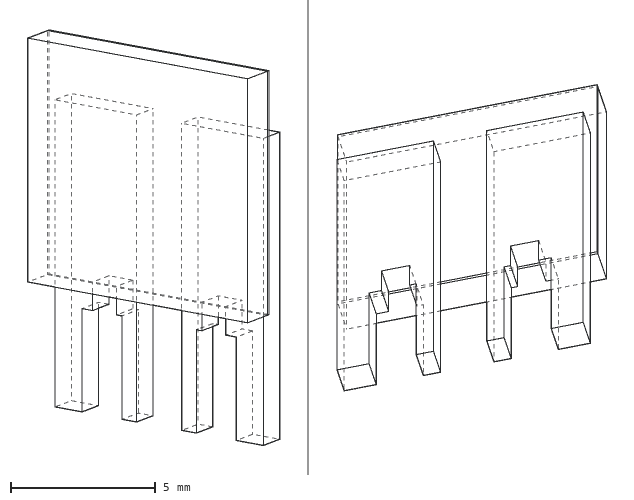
import cadquery as cq

TOTAL_HEIGHT = 13.47
PLATE_WIDTH = 9.27
TOTAL_DEPTH = 2.29

TERMINAL_THICKNESS = 1.0
SHEET_THICKNESS = 0.1
PLATE_THICKNESS = TOTAL_DEPTH - TERMINAL_THICKNESS - SHEET_THICKNESS
SHEET_FRONT_Y = PLATE_THICKNESS
TERMINAL_FRONT_Y = SHEET_FRONT_Y + SHEET_THICKNESS

PLATE_BOTTOM = 4.73
PLATE_HEIGHT = TOTAL_HEIGHT - PLATE_BOTTOM
STEP_HEIGHT = 3.7
TERMINAL_HEIGHT = 11.0

SIDE_INSET = 0.24
TERMINAL_GAP = 1.9
OUTER_LEG_WIDTH = 1.15
OUTER_LEG_ROOT_WIDTH = 1.59
INNER_LEG_WIDTH = 0.62
INNER_LEG_ROOT_WIDTH = 0.85
OUTER_EDGE = PLATE_WIDTH / 2 - SIDE_INSET
INNER_EDGE = TERMINAL_GAP / 2


def make_panel(front_y, thickness):
    """Rectangular panel with the plate outline, starting at front_y."""
    return (
        cq.Workplane("XY")
        .box(PLATE_WIDTH, thickness, PLATE_HEIGHT, centered=(True, False, False))
        .translate((0, front_y, PLATE_BOTTOM))
    )


def make_terminal(side):
    """Two-legged terminal; side is -1 for the -X one and 1 for its mirror image."""
    outline = [
        (OUTER_EDGE, 0),
        (OUTER_EDGE, TERMINAL_HEIGHT),
        (INNER_EDGE, TERMINAL_HEIGHT),
        (INNER_EDGE, 0),
        (INNER_EDGE + INNER_LEG_WIDTH, 0),
        (INNER_EDGE + INNER_LEG_WIDTH, STEP_HEIGHT),
        (INNER_EDGE + INNER_LEG_ROOT_WIDTH, STEP_HEIGHT),
        (INNER_EDGE + INNER_LEG_ROOT_WIDTH, PLATE_BOTTOM),
        (OUTER_EDGE - OUTER_LEG_ROOT_WIDTH, PLATE_BOTTOM),
        (OUTER_EDGE - OUTER_LEG_ROOT_WIDTH, STEP_HEIGHT),
        (OUTER_EDGE - OUTER_LEG_WIDTH, STEP_HEIGHT),
        (OUTER_EDGE - OUTER_LEG_WIDTH, 0),
    ]
    return (
        cq.Workplane("XZ", origin=(0, TERMINAL_FRONT_Y, 0))
        .polyline([(side * x, z) for x, z in outline])
        .close()
        .extrude(-TERMINAL_THICKNESS)
    )


plate = make_panel(0, PLATE_THICKNESS)
sheet = make_panel(SHEET_FRONT_Y, SHEET_THICKNESS)
terminals = [make_terminal(side) for side in (-1, 1)]

result = cq.Compound.makeCompound(
    [plate.val(), sheet.val(), *[terminal.val() for terminal in terminals]]
)